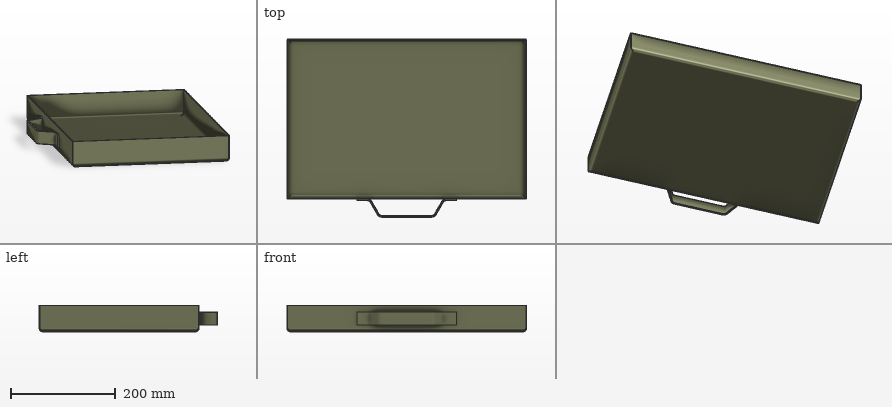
import cadquery as cq
import math

tray_length = 457
tray_width = 305.0
tray_height = 50.7
sheet = 1.6
bend_radius = 8.2
inner_bend_radius = bend_radius - sheet
corner_notch = 1.5

handle_span = 189.7
handle_reach = 34.7
handle_height = 24.5
handle_bottom = 13.3
strap = 3.0
grip_half_length = 53.0
arm_angle = math.radians(60)
strap_inner_radius = 6.5
strap_outer_radius = strap_inner_radius + strap


def rounded_block(length, width, height, radius):
    """Block standing on Z = 0 with its bottom edges rounded."""
    block = cq.Workplane("XY").box(length, width, height, centered=(True, True, False))
    return block.faces("<Z").edges().fillet(radius)


def make_tray():
    """Open pan with a small square notch down each outside corner."""
    outside = rounded_block(tray_length, tray_width, tray_height, bend_radius)
    cavity = rounded_block(
        tray_length - 2 * sheet, tray_width - 2 * sheet, tray_height, inner_bend_radius
    ).translate((0, 0, sheet))
    notches = (
        cq.Workplane("XY")
        .rect(tray_length, tray_width, forConstruction=True)
        .vertices()
        .rect(2 * corner_notch, 2 * corner_notch)
        .extrude(tray_height)
    )
    return outside.cut(cavity).cut(notches)


def make_handle():
    """Strap with two feet on the wall, two slanted arms and a straight grip."""
    foot_back = -tray_width / 2
    foot_front = foot_back - strap
    grip_front = foot_back - handle_reach
    grip_back = grip_front + strap

    arm_run = (foot_front - grip_front) / math.tan(arm_angle)
    corner_shift = strap * math.tan(arm_angle / 2)
    grip_front_x = grip_half_length
    grip_back_x = grip_front_x - corner_shift
    foot_front_x = grip_front_x + arm_run
    foot_back_x = grip_back_x + arm_run
    foot_end_x = handle_span / 2

    right_back = [(grip_back_x, grip_back), (foot_back_x, foot_back), (foot_end_x, foot_back)]
    right_front = [(foot_end_x, foot_front), (foot_front_x, foot_front), (grip_front_x, grip_front)]
    right_half = right_back + right_front
    left_half = [(-x, y) for x, y in reversed(right_half)]
    handle = (
        cq.Workplane("XY")
        .workplane(offset=handle_bottom)
        .polyline(right_half + left_half)
        .close()
        .extrude(handle_height)
    )

    bends = [
        (grip_back_x, grip_back, strap_inner_radius),
        (foot_front_x, foot_front, strap_inner_radius),
        (grip_front_x, grip_front, strap_outer_radius),
        (foot_back_x, foot_back, strap_outer_radius),
    ]
    middle_height = handle_bottom + handle_height / 2
    for x, y, radius in bends:
        for side in (-1, 1):
            corner = cq.NearestToPointSelector((side * x, y, middle_height))
            handle = handle.edges("|Z").edges(corner).fillet(radius)
    return handle


tray = make_tray()
handle = make_handle()
result = cq.Compound.makeCompound([tray.val(), handle.val()])